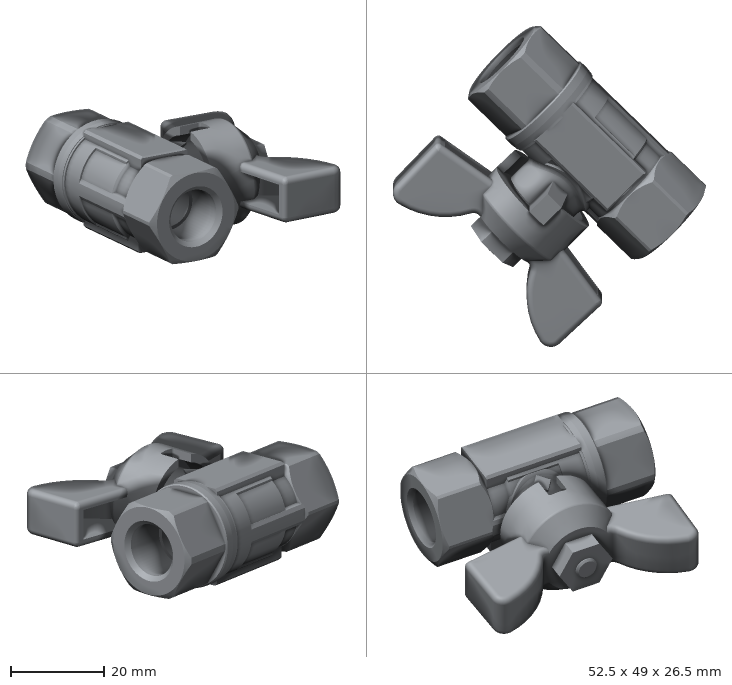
import cadquery as cq
import math


HEX_FLATS = 20.0
HEX_FACE_RADIUS = 9.85
NEAR_HEX_RADIUS = 11.15
FAR_HEX_RADIUS = 11.35
FAR_HEX_START = 38.7
BODY_LENGTH = 51.4
HEX_CHAMFER = 0.85

FLANGE_START = 12.6
FLANGE_STEP = 14.45
FLANGE_END = 15.85
FLANGE_RADIUS = 11.55
FLANGE_END_RADIUS = 11.4
FLANGE_CHAMFER = 0.25
COLLAR_END = 16.4
COLLAR_RADIUS = 11.25

MIDDLE_RADIUS = 10.85
RECESS_RADIUS = 10.45
GROOVE_RADIUS = 9.75
CLEAR_RADIUS = 15.75
RECESS_START = 21.65
RECESS_END = 33.85
GROOVE_START = 34.45

SLAB_HALF_WIDTH = 5.95
SLAB_HEIGHT = 11.0
SLAB_CHAMFER = 0.6
SLAB_END_CHAMFER = 0.3
UPPER_SLAB_END = 38.75
LOWER_SLAB_END = 37.7

RIB_END = 39.75
RIB_TOP_HALF_WIDTH = 1.25
RIB_SHOULDER_HALF_WIDTH = 2.25
RIB_SHOULDER_Y = 10.25
RIB_FOOT_HALF_WIDTH = 2.55
RIB_FOOT_Y = 9.4
LEDGE_HALF_WIDTH = 6.5

PORT_RADIUS = 5.0
SOCKET_RADIUS = 5.8
SOCKET_DEPTH = 10.5
SOCKET_CHAMFER = 1.0

STEM_X = 27.45
NECK_RADIUS = 7.75
NECK_TOP = 17.0
NECK_FILLET = 1.05
NECK_FOOT_Y = 6.6
STEM_RADIUS = 6.35
BADGE_HALF_WIDTH = 2.1
BADGE_BOTTOM = 7.25
BADGE_TOP = 12.85
BADGE_Z = 8.3

LUG_HALF_WIDTH = 2.1
LUG_BOTTOM_Z = -14.95
LUG_ROOT_Y = 9.7
LUG_TIP_Y = 11.5

CAP_RADIUS = 11.55
SKIRT_RADIUS = 11.4
SKIRT_BORE_RADIUS = 9.5
SKIRT_BOTTOM = 12.5
CAVITY_TOP = 17.6
CONE_START = 22.9
CAP_TOP = 27.0
CAP_TOP_RADIUS = 8.2
CAP_EDGE_FILLET = 0.8
NOTCH_HALF_WIDTH = 2.15
NOTCH_FILLET = 0.45
SWEEP_MARGIN = 2.25

WING_HALF_THICKNESS = 5.15
OVERALL_LENGTH = 52.5
WING_CORNER_SETBACK = 0.02
WING_TIP_X = OVERALL_LENGTH - STEM_X + WING_CORNER_SETBACK
WING_PEAK = (24.6, 37.8)
WING_BACK_MIDDLE = (15.0, 34.6)
WING_BACK_FOOT = (8.5, 27.0)
WING_PEAK_FILLET = 2.75
WING_FOOT_FILLET = 1.6
WING_LOWER_TIP_Y = 21.85
WING_ROOT = (10.3, 19.5)
WING_FILLET = 1.35
WING_CORNER_FILLET = 0.95
WING_WALL = 1.8

NUT_FLATS = 11.1
NUT_TOP = 30.55
STUD_RADIUS = 2.5
STUD_TOP = 31.2
STUD_CHAMFER = 0.4


def across_corners(flats):
    """Corner-to-corner size of a regular hexagon from its size across flats."""
    return flats / math.cos(math.pi / 6)


def turned_about_x(profile):
    """Solid of revolution about X from (x, radius) points."""
    return cq.Workplane("XY").polyline(profile).close().revolve(360, (0, 0, 0), (1, 0, 0))


def turned_about_stem(profile):
    """Solid of revolution about the stem axis from (radius, y) points."""
    solid = cq.Workplane("XY").polyline(profile).close().revolve(360, (0, 0, 0), (0, 1, 0))
    return solid.translate((STEM_X, 0, 0))


def stem_cylinder(radius, bottom, top):
    return turned_about_stem([(0, bottom), (radius, bottom), (radius, top), (0, top)])


def block(x_range, y_range, z_range):
    (x0, x1), (y0, y1), (z0, z1) = x_range, y_range, z_range
    return cq.Workplane("XY").box(x1 - x0, y1 - y0, z1 - z0, centered=False).translate((x0, y0, z0))


def hexagon(start, end, envelope):
    """Hexagonal bar with flats facing +Z and -Z, turned down to the envelope profile."""
    bar = cq.Workplane("YZ").workplane(offset=start).polygon(6, across_corners(HEX_FLATS)).extrude(end - start)
    return bar.intersect(turned_about_x(envelope))


def near_hexagon():
    envelope = [
        (0, 0),
        (0, HEX_FACE_RADIUS),
        (HEX_CHAMFER, NEAR_HEX_RADIUS),
        (FLANGE_START, NEAR_HEX_RADIUS),
        (FLANGE_START, 0),
    ]
    return hexagon(0, FLANGE_START, envelope)


def far_hexagon():
    back_chamfer = FAR_HEX_RADIUS - HEX_FACE_RADIUS
    envelope = [
        (FAR_HEX_START, 0),
        (FAR_HEX_START, HEX_FACE_RADIUS),
        (FAR_HEX_START + back_chamfer, FAR_HEX_RADIUS),
        (BODY_LENGTH - HEX_CHAMFER, FAR_HEX_RADIUS),
        (BODY_LENGTH, HEX_FACE_RADIUS),
        (BODY_LENGTH, 0),
    ]
    return hexagon(FAR_HEX_START, BODY_LENGTH, envelope)


def flange():
    """Flange behind the near hexagon, with a narrow collar after it."""
    return turned_about_x([
        (FLANGE_START - FLANGE_CHAMFER, 0),
        (FLANGE_START - FLANGE_CHAMFER, FLANGE_RADIUS - FLANGE_CHAMFER),
        (FLANGE_START, FLANGE_RADIUS),
        (FLANGE_STEP, FLANGE_RADIUS),
        (FLANGE_END, FLANGE_END_RADIUS),
        (FLANGE_END, COLLAR_RADIUS),
        (COLLAR_END, COLLAR_RADIUS),
        (COLLAR_END, 0),
    ])


def slab(end):
    """Flat slab on the +Z side, chamfered along both edges and at its far end."""
    solid = block((FLANGE_END, end), (-SLAB_HALF_WIDTH, SLAB_HALF_WIDTH), (0, SLAB_HEIGHT))
    solid = solid.edges("|X and >Z").chamfer(SLAB_CHAMFER)
    return solid.faces(">X").edges(">Z").chamfer(SLAB_END_CHAMFER)


def middle_with_neck():
    """Round middle of the body with the neck that carries the handle, filleted together."""
    length = RIB_END - FLANGE_END
    barrel = cq.Workplane("YZ").workplane(offset=FLANGE_END).circle(MIDDLE_RADIUS).extrude(length)
    barrel = barrel.rotate((0, 0, 0), (1, 0, 0), 180)
    joined = barrel.union(stem_cylinder(NECK_RADIUS, 0, NECK_TOP))
    return joined.edges("not(%CIRCLE or %LINE)").fillet(NECK_FILLET)


def side_rib():
    """Tapered rib at +Y that stays at the full body radius."""
    section = (
        cq.Workplane("YZ")
        .workplane(offset=COLLAR_END)
        .moveTo(PORT_RADIUS, 0)
        .lineTo(PORT_RADIUS, RIB_FOOT_HALF_WIDTH)
        .lineTo(RIB_FOOT_Y, RIB_FOOT_HALF_WIDTH)
        .lineTo(RIB_SHOULDER_Y, RIB_SHOULDER_HALF_WIDTH)
        .lineTo(MIDDLE_RADIUS, RIB_TOP_HALF_WIDTH)
        .lineTo(CLEAR_RADIUS, RIB_TOP_HALF_WIDTH)
        .lineTo(CLEAR_RADIUS, 0)
        .mirrorX()
    )
    return section.extrude(BODY_LENGTH - COLLAR_END)


def side_recesses():
    """Ring cut that lowers the barrel to the recess and the groove, beside ribs, slabs and neck."""
    ring = turned_about_x([
        (RECESS_START, CLEAR_RADIUS),
        (RECESS_START, RECESS_RADIUS),
        (RECESS_END, RECESS_RADIUS),
        (GROOVE_START, GROOVE_RADIUS),
        (BODY_LENGTH, GROOVE_RADIUS),
        (BODY_LENGTH, CLEAR_RADIUS),
    ])
    kept_under_slabs = block(
        (0, LOWER_SLAB_END),
        (-SLAB_HALF_WIDTH, SLAB_HALF_WIDTH),
        (-CLEAR_RADIUS, CLEAR_RADIUS),
    )
    kept_ledges = block(
        (0, RECESS_END),
        (-LEDGE_HALF_WIDTH, LEDGE_HALF_WIDTH),
        (-CLEAR_RADIUS, CLEAR_RADIUS),
    )
    kept_neck_foot = stem_cylinder(NECK_RADIUS + NECK_FILLET, NECK_FOOT_Y, NECK_TOP)
    rib = side_rib()
    for kept in (kept_under_slabs, kept_ledges, kept_neck_foot, rib, rib.mirror("XZ")):
        ring = ring.cut(kept)
    return ring


def badge():
    """Diamond-shaped raised face on the +Z side of the neck."""
    middle = (BADGE_BOTTOM + BADGE_TOP) / 2
    outline = [
        (STEM_X, BADGE_BOTTOM),
        (STEM_X + BADGE_HALF_WIDTH, middle),
        (STEM_X, BADGE_TOP),
        (STEM_X - BADGE_HALF_WIDTH, middle),
    ]
    base_z = PORT_RADIUS
    return cq.Workplane("XY").workplane(offset=base_z).polyline(outline).close().extrude(BADGE_Z - base_z)


def stop_lug():
    """Sloping lug that hangs below the neck and limits the handle's turn."""
    outline = [
        (NECK_TOP, -STEM_RADIUS),
        (NECK_TOP, LUG_BOTTOM_Z),
        (LUG_TIP_Y, LUG_BOTTOM_Z),
        (LUG_ROOT_Y, -NECK_RADIUS),
        (LUG_ROOT_Y, -STEM_RADIUS),
    ]
    lug = cq.Workplane("YZ").polyline(outline).close().extrude(LUG_HALF_WIDTH, both=True)
    return lug.translate((STEM_X, 0, 0))


def pipe_bore():
    """Through port with a wider, chamfered socket at each end."""
    mouth_radius = SOCKET_RADIUS + SOCKET_CHAMFER
    return turned_about_x([
        (0, 0),
        (0, mouth_radius),
        (SOCKET_CHAMFER, SOCKET_RADIUS),
        (SOCKET_DEPTH, SOCKET_RADIUS),
        (SOCKET_DEPTH, PORT_RADIUS),
        (BODY_LENGTH - SOCKET_DEPTH, PORT_RADIUS),
        (BODY_LENGTH - SOCKET_DEPTH, SOCKET_RADIUS),
        (BODY_LENGTH - SOCKET_CHAMFER, SOCKET_RADIUS),
        (BODY_LENGTH, mouth_radius),
        (BODY_LENGTH, 0),
    ])


def wing_outline():
    return (
        cq.Workplane("XY")
        .workplane(offset=-WING_HALF_THICKNESS)
        .moveTo(0, WING_ROOT[1])
        .lineTo(*WING_ROOT)
        .lineTo(WING_TIP_X, WING_LOWER_TIP_Y)
        .lineTo(*WING_PEAK)
        .threePointArc(WING_BACK_MIDDLE, WING_BACK_FOOT)
        .lineTo(0, CAP_TOP)
        .close()
    )


def wing():
    """Hollow wing on the +X side of the stem axis, open along its lower edge."""
    solid = wing_outline().extrude(2 * WING_HALF_THICKNESS)
    solid = solid.edges("|Z").edges(">X").fillet(WING_CORNER_FILLET)
    solid = solid.edges("|Z").edges(">Y").fillet(WING_PEAK_FILLET)
    foot = cq.selectors.NearestToPointSelector((*WING_BACK_FOOT, 0))
    solid = solid.edges("|Z").edges(foot).fillet(WING_FOOT_FILLET)
    solid = solid.faces("<Z or >Z").edges().fillet(WING_FILLET)
    inside = wing_outline().offset2D(-WING_WALL).extrude(2 * (WING_HALF_THICKNESS - WING_WALL))
    inside = inside.translate((0, 0, WING_WALL))
    opening = inside.translate((0, -2 * WING_WALL, 0))
    return solid.cut(inside).cut(opening)


def handle_cap():
    """Coned cap with a hollow skirt around the neck."""
    cap = turned_about_stem([
        (0, CAVITY_TOP),
        (SKIRT_BORE_RADIUS, CAVITY_TOP),
        (SKIRT_BORE_RADIUS, SKIRT_BOTTOM),
        (SKIRT_RADIUS, SKIRT_BOTTOM),
        (CAP_RADIUS, CONE_START),
        (CAP_TOP_RADIUS, CAP_TOP),
        (0, CAP_TOP),
    ])
    shoulder = cq.selectors.RadiusNthSelector(-1)
    return cap.edges("%CIRCLE").edges(shoulder).fillet(CAP_EDGE_FILLET)


def skirt_notch():
    """Notch in the +Z side of the skirt, with rounded top corners."""
    notch = block(
        (STEM_X - NOTCH_HALF_WIDTH, STEM_X + NOTCH_HALF_WIDTH),
        (0, CAVITY_TOP),
        (0, 2 * CAP_RADIUS),
    )
    return notch.edges("|Z and >Y").fillet(NOTCH_FILLET)


def lug_sweep():
    """Gap in the skirt from the -X side round to -Z, where the lug stands while the handle turns."""
    gap = block(
        (STEM_X - 2 * CAP_RADIUS, STEM_X + SWEEP_MARGIN),
        (0, CAVITY_TOP),
        (-2 * CAP_RADIUS, SWEEP_MARGIN),
    )
    return gap.edges("|X and >Y and >Z").fillet(NOTCH_FILLET)


def nut():
    """Stem nut with two corners along X, and the chamfered stud end above it."""
    hexagon_bar = (
        cq.Workplane("XZ", origin=(STEM_X, CAP_TOP, 0))
        .polygon(6, across_corners(NUT_FLATS))
        .extrude(CAP_TOP - NUT_TOP)
    )
    stud = stem_cylinder(STUD_RADIUS, CAP_TOP, STUD_TOP).faces(">Y").chamfer(STUD_CHAMFER)
    return hexagon_bar.union(stud)


def valve_body():
    body = middle_with_neck().cut(side_recesses())
    body = body.union(flange()).union(near_hexagon()).union(far_hexagon())
    body = body.union(slab(UPPER_SLAB_END)).union(slab(LOWER_SLAB_END).mirror("XY"))
    body = body.union(badge()).union(stop_lug())
    return body.cut(pipe_bore())


def handle():
    cap = handle_cap().cut(skirt_notch()).cut(lug_sweep())
    far_wing = wing()
    wings = far_wing.union(far_wing.mirror("YZ")).translate((STEM_X, 0, 0))
    return cap.union(wings).union(nut())


stem = stem_cylinder(STEM_RADIUS, NECK_TOP, CAP_TOP)
result = valve_body().union(handle()).union(stem)